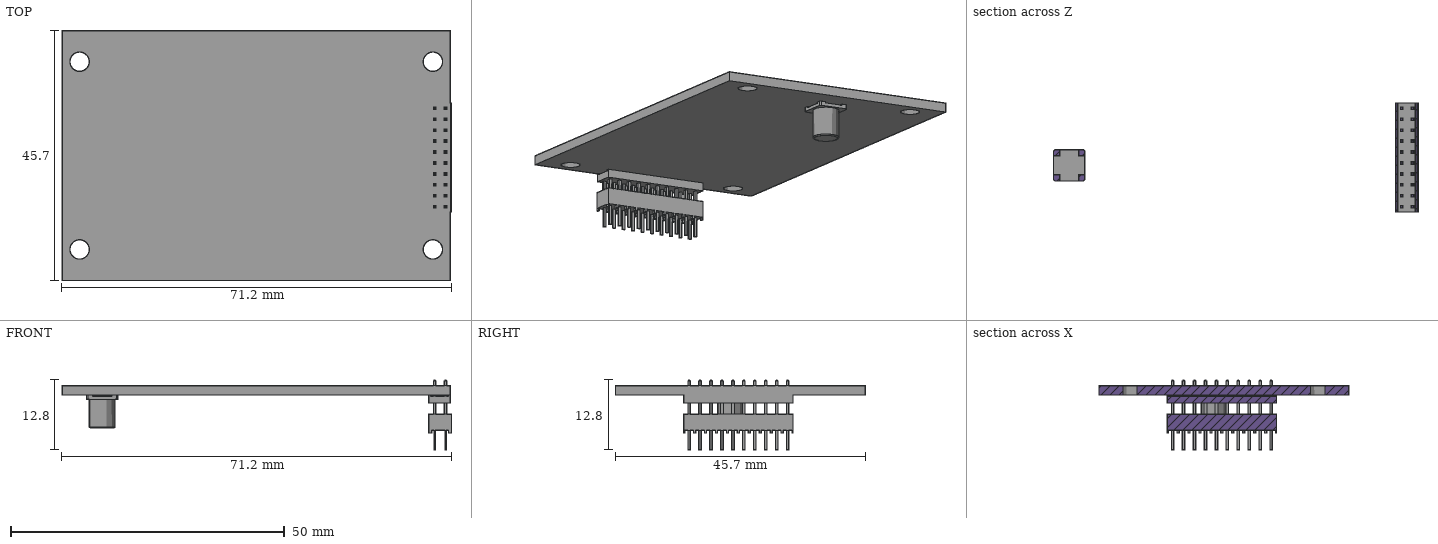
import cadquery as cq

total_length = 71.15
board_width = 45.7
total_height = 12.75

pin_tip_height = 1.0
board_thickness = 1.7
header_height = 1.5
header_to_socket_gap = 2.0
socket_height = 3.5
board_clearance = 0.2
board_top = total_height - pin_tip_height
board_bottom = board_top - board_thickness
header_bottom = board_bottom - header_height
socket_top = header_bottom - header_to_socket_gap
socket_bottom = socket_top - socket_height

socket_overhang = 0.2
board_left = -total_length / 2
board_right = total_length / 2 - socket_overhang
board_length = board_right - board_left
hole_diameter = 3.5
hole_inset_x = 3.2
hole_inset_y = 5.7

pins_per_row = 10
connector_y = -0.35
connector_length = 20.0
pin_pitch = connector_length / pins_per_row
header_width = 4.0
header_wall = 0.4
socket_width = 4.2
socket_x = total_length / 2 - socket_width / 2
foot_height = 0.5
foot_width = 0.4
long_groove_width = 3.0
cross_groove_width = pin_pitch - foot_width

pin_size = 0.5
pin_tip_chamfer = 0.17
tail_thickness = 0.3

plug_x = board_left + 7.3
plug_y = -1.8
flange_size = 5.75
flange_height = 0.8
flange_corner_chamfer = 0.3
flange_clearance_width = 3.4
barrel_diameter = 4.8
barrel_bottom = 4.0
barrel_end_chamfer = 0.2


def box(size_x, size_y, z_low, z_high, x, y):
    """Upright block centred on (x, y) between two heights."""
    block = cq.Workplane("XY").box(size_x, size_y, z_high - z_low, centered=(True, True, False))
    return block.translate((x, y, z_low))


def make_board():
    """Flat board with a through hole near each corner."""
    board_x = (board_left + board_right) / 2
    hole_span_x = board_length - 2 * hole_inset_x
    hole_span_y = board_width - 2 * hole_inset_y
    board = box(board_length, board_width, board_bottom, board_top, board_x, 0)
    return (
        board.faces(">Z").workplane(origin=(board_x, 0, board_top))
        .rect(hole_span_x, hole_span_y, forConstruction=True).vertices()
        .hole(hole_diameter)
    )


def pin_positions_y():
    """Y of every pin along one row."""
    first_y = connector_y - (pins_per_row - 1) / 2 * pin_pitch
    return [first_y + i * pin_pitch for i in range(pins_per_row)]


def make_header():
    """Header block with a shallow lengthwise groove under the board, between two thin walls."""
    header_x = board_right - header_width / 2
    groove_width = header_width - 2 * header_wall
    groove_bottom = board_bottom - board_clearance
    header = box(header_width, connector_length, header_bottom, board_bottom, header_x, connector_y)
    return header.cut(box(groove_width, connector_length, groove_bottom, board_bottom, header_x, connector_y))


def make_socket():
    """Socket block standing on small feet left between crossing grooves."""
    groove_top = socket_bottom + foot_height
    socket = box(socket_width, connector_length, socket_bottom, socket_top, socket_x, connector_y)
    socket = socket.cut(
        box(long_groove_width, connector_length, socket_bottom, groove_top, socket_x, connector_y)
    )
    for y in pin_positions_y():
        socket = socket.cut(box(socket_width, cross_groove_width, socket_bottom, groove_top, socket_x, y))
    return socket


def make_pin(x, y):
    """Square pin from its chamfered tip to the socket, then a thinner tail below."""
    post = box(pin_size, pin_size, socket_top - pin_size, total_height, x, y)
    post = post.faces(">Z").chamfer(pin_tip_chamfer)
    tail = box(tail_thickness, pin_size, 0, socket_top, x, y)
    return post.union(tail)


def make_plug():
    """Round barrel below a flange that touches the board only on its four corner pads."""
    flange_bottom = board_bottom - flange_height
    flange = box(flange_size, flange_size, flange_bottom, board_bottom, plug_x, plug_y)
    flange = flange.edges("|Z").chamfer(flange_corner_chamfer)
    clearance_bottom = board_bottom - board_clearance
    for size_x, size_y in ((flange_size, flange_clearance_width), (flange_clearance_width, flange_size)):
        flange = flange.cut(box(size_x, size_y, clearance_bottom, board_bottom, plug_x, plug_y))
    barrel = (
        cq.Workplane("XY", origin=(plug_x, plug_y, barrel_bottom))
        .circle(barrel_diameter / 2).extrude(flange_bottom - barrel_bottom)
        .faces("<Z").chamfer(barrel_end_chamfer)
    )
    return flange.union(barrel)


header_stack = make_header().union(make_socket())
for row_x in (socket_x - pin_pitch / 2, socket_x + pin_pitch / 2):
    for pin_y in pin_positions_y():
        header_stack = header_stack.union(make_pin(row_x, pin_y))

result = make_board().union(make_plug()).union(header_stack)